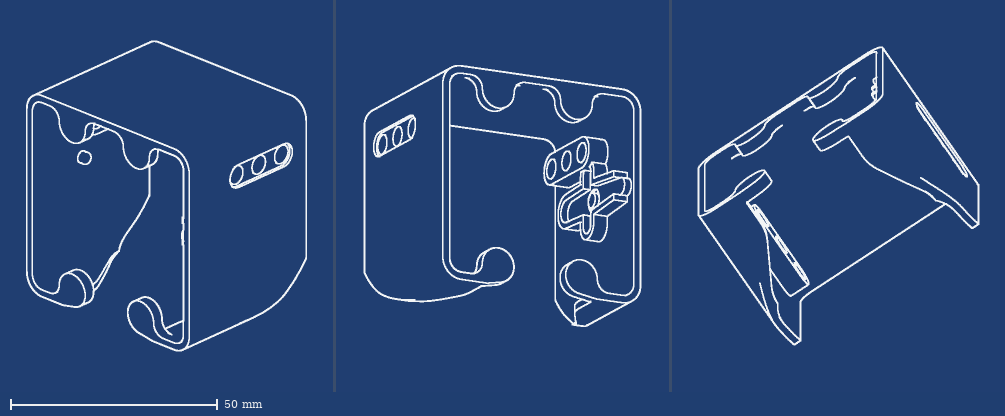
import cadquery as cq
import math


size = 54.0
half = size / 2
depth = 41.5
wall = 1.9
corner_radius = 5.0
inner_half = half - wall
inner_radius = corner_radius - wall

opening_half = 14.9
rear_cut_radius = 30.0
rear_cut_start = 17.65

trim_start = 11.6
trim_slope = 1.8
trim_limit = 23.1
trim_rounding = 10.0

lobe_radius = 4.3
lobe_length = 3.0
lobe_inset = corner_radius
upper_lobes_x = (-11.9, 9.45)
lower_lobes_x = (-11.9, 10.85)

hole_count = 3
hole_diameter = 4.8
hole_spacing = 8.0
hole_row_y = 25.55
hole_row_z = 15.25
recess_width = 6.1
recess_depth = 0.8
boss_width = 7.8
boss_height = 5.2

pin_y = hole_row_y - hole_spacing
pin_z = 3.5
pin_diameter = 3.0
pin_length = 2.1
pin_rounding = 0.8

guide_height = 3.65
guide_wall = 1.5
floor_height = 1.85
button_diameter = 3.8
button_height = 0.6
moat_diameter = 5.6
moat_depth = 0.5
cross_radius = 2.0
cross_reach = 6.5
mouth_y = 3.45
mouth_half = 2.15
middle_half = 3.4
tail_y = 28.6
tail_radius = 2.8


def front_sketch():
    """Plane whose local axes are X and Z; a negative extrusion runs to +Y."""
    return cq.Workplane("XZ")


def make_sleeve():
    """Square tube with rounded corners, open along its bottom wall."""
    outer = front_sketch().rect(size, size).extrude(-depth).edges("|Y").fillet(corner_radius)
    inner_size = 2 * inner_half
    inner = front_sketch().rect(inner_size, inner_size).extrude(-depth).edges("|Y").fillet(inner_radius)
    return outer.cut(inner).cut(make_bottom_trim())


def make_rear_cut():
    """Block under a long arc that rounds off the lower rear corner."""
    centre_z = -half + rear_cut_radius
    end_z = centre_z - math.sqrt(rear_cut_radius**2 - (depth - rear_cut_start) ** 2)
    mid_angle = math.asin((depth - rear_cut_start) / rear_cut_radius) / 2
    mid_y = rear_cut_start + rear_cut_radius * math.sin(mid_angle)
    mid_z = centre_z - rear_cut_radius * math.cos(mid_angle)
    return (
        cq.Workplane("YZ")
        .moveTo(rear_cut_start, -half)
        .threePointArc((mid_y, mid_z), (depth, end_z))
        .lineTo(depth, -half)
        .close()
        .extrude(half, both=True)
    )


def make_bottom_trim():
    """Full-depth opening through the bottom wall that widens towards the rear in straight slants."""
    limit_y = trim_start + trim_slope * (trim_limit - opening_half)
    half_plan = [
        (opening_half, 0),
        (opening_half, trim_start),
        (trim_limit, limit_y),
        (trim_limit, depth),
    ]
    mirrored_plan = [(-x, y) for x, y in reversed(half_plan)]
    trim = (
        cq.Workplane("XY", origin=(0, 0, -half))
        .polyline(half_plan + mirrored_plan)
        .close()
        .extrude(corner_radius)
    )
    bends = [edge for edge in trim.edges("|Z").vals() if 0 < edge.Center().y < depth]
    return trim.newObject(bends).fillet(trim_rounding)


def make_upper_lobe(x):
    """Round lobe hanging from the top wall, with a concave flare on both sides of its neck."""
    centre_z = half - lobe_inset
    flare = lobe_radius + inner_radius
    bend = inner_radius * math.sqrt(0.5)
    bend_z = centre_z + bend
    return (
        front_sketch()
        .moveTo(x - flare, half - wall / 2)
        .lineTo(x - flare, inner_half)
        .threePointArc((x - flare + bend, bend_z), (x - lobe_radius, centre_z))
        .threePointArc((x, centre_z - lobe_radius), (x + lobe_radius, centre_z))
        .threePointArc((x + flare - bend, bend_z), (x + flare, inner_half))
        .lineTo(x + flare, half - wall / 2)
        .close()
        .extrude(-lobe_length)
    )


def make_lower_lobe(x):
    """Round lobe curling up from the lip of the bottom wall, its underside tangent to the circle."""
    side = math.copysign(1, x)
    reach = abs(x)
    centre_z = -half + lobe_inset
    flare = lobe_radius + inner_radius
    bend = inner_radius * math.sqrt(0.5)

    lip_u = opening_half - reach
    lip_distance = math.hypot(lip_u, lobe_inset)
    tangent_angle = math.atan2(-lobe_inset, lip_u) - math.acos(lobe_radius / lip_distance)
    tangent_u = reach + lobe_radius * math.cos(tangent_angle)
    tangent_z = centre_z + lobe_radius * math.sin(tangent_angle)

    def at(u, z):
        return (side * u, z)

    return (
        front_sketch()
        .moveTo(*at(reach + flare, -half))
        .lineTo(*at(reach + flare, -inner_half))
        .threePointArc(at(reach + flare - bend, centre_z - bend), at(reach + lobe_radius, centre_z))
        .threePointArc(at(reach, centre_z + lobe_radius), at(tangent_u, tangent_z))
        .lineTo(*at(opening_half, -half))
        .close()
        .extrude(-lobe_length)
    )


def side_sketch(x):
    """Plane at the given X whose local axes are Y and Z; extrusions run to +X."""
    return cq.Workplane("YZ", origin=(x, 0, 0))


def hole_row_slot(x, width, length):
    """Rounded bar along the hole row, from x towards +X by length."""
    sketch = side_sketch(x).center(hole_row_y, hole_row_z)
    return sketch.slot2D((hole_count - 1) * hole_spacing + width, width).extrude(length)


def add_hole_rows(body):
    """Add the inner bosses and outer recesses of both side walls, then drill the holes through."""
    body = body.union(hole_row_slot(-inner_half, boss_width, boss_height))
    body = body.union(hole_row_slot(inner_half - boss_height, boss_width, boss_height))
    body = body.cut(hole_row_slot(-half, recess_width, recess_depth))
    body = body.cut(hole_row_slot(half - recess_depth, recess_width, recess_depth))
    holes = (
        side_sketch(0)
        .center(hole_row_y, hole_row_z)
        .rarray(hole_spacing, 0.55, hole_count, 1)
        .circle(hole_diameter / 2)
        .extrude(half, both=True)
    )
    return body.cut(holes)


def make_pin():
    """Round pin with a rounded tip on the inside of the left wall."""
    shank = side_sketch(-inner_half).center(pin_y, pin_z).circle(pin_diameter / 2).extrude(pin_length)
    return shank.faces(">X").edges().fillet(pin_rounding)


def guide_layer(offset, base_x, height):
    """Cross-shaped plan grown outwards by offset: an upright slot and a tapered bar along Y."""
    radius = cross_radius + offset
    upright = (
        side_sketch(base_x)
        .center(pin_y, pin_z)
        .slot2D(2 * (cross_reach + radius), 2 * radius, 90)
        .extrude(height)
    )
    tail = tail_radius + offset
    bar = (
        side_sketch(base_x)
        .moveTo(mouth_y, pin_z - mouth_half - offset)
        .lineTo(pin_y, pin_z - middle_half - offset)
        .lineTo(tail_y, pin_z - tail)
        .threePointArc((tail_y + tail, pin_z), (tail_y, pin_z + tail))
        .lineTo(pin_y, pin_z + middle_half + offset)
        .lineTo(mouth_y, pin_z + mouth_half + offset)
        .close()
        .extrude(height)
    )
    return upright.union(bar)


def make_guide():
    """Walled cross-shaped track, open at its front mouth, with a round button standing in a moat."""
    top_x = inner_half - guide_height
    floor_x = inner_half - floor_height
    track = guide_layer(guide_wall, top_x, guide_height)
    track = track.cut(guide_layer(0, top_x, guide_height - floor_height))
    nose = side_sketch(floor_x).center(mouth_y, pin_z).circle(mouth_half).extrude(floor_height)
    button = (
        side_sketch(floor_x - button_height)
        .center(pin_y, pin_z)
        .circle(button_diameter / 2)
        .extrude(button_height + moat_depth)
    )
    moat = side_sketch(floor_x).center(pin_y, pin_z).circle(moat_diameter / 2).extrude(moat_depth)
    return track.cut(moat).union(nose).union(button)


body = make_sleeve()
for lobe_x in upper_lobes_x:
    body = body.union(make_upper_lobe(lobe_x))
for lobe_x in lower_lobes_x:
    body = body.union(make_lower_lobe(lobe_x))
body = body.cut(make_rear_cut())
body = body.union(make_guide()).union(make_pin())
result = add_hole_rows(body)